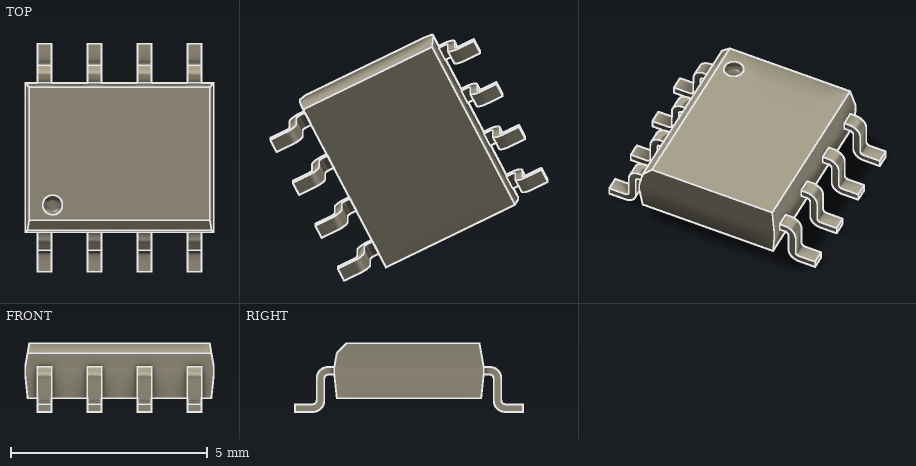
import cadquery as cq
import math

body_length = 4.8
body_width = 3.8
overall_height = 1.75
standoff = 0.35
upper_draft = 10.0
lower_draft = 6.0

bevel_width = 0.2
bevel_drop = 0.25

dimple_x = -1.7
dimple_y = -1.2
dimple_radius = 0.25
dimple_depth = 0.2
dimple_bottom_fillet = 0.15

leads_per_side = 4
lead_pitch = 1.27
lead_width = 0.36
lead_thickness = 0.2
lead_span = 5.8
lead_shoulder_top = 1.15
lead_shank_outer = 2.35
bend_inner_radius = 0.1
lead_embed = 0.5

bend_outer_radius = bend_inner_radius + lead_thickness
band_top = lead_shoulder_top
band_bottom = band_top - lead_thickness


def make_body():
    """Straight parting band with drafted halves above and below it."""
    band = (
        cq.Workplane("XY", origin=(0, 0, band_bottom))
        .rect(body_length, body_width)
        .extrude(band_top - band_bottom)
    )
    upper = (
        cq.Workplane("XY", origin=(0, 0, band_top))
        .rect(body_length, body_width)
        .extrude(overall_height - band_top, taper=upper_draft)
    )
    lower = (
        cq.Workplane("XY", origin=(0, 0, band_bottom))
        .rect(body_length, body_width)
        .extrude(-(band_bottom - standoff), taper=lower_draft)
    )
    return band.union(upper).union(lower)


def make_bevel_cutter():
    """Triangular prism that removes the top edge on the -Y side."""
    draft_slope = math.tan(math.radians(upper_draft))
    top_edge_y = -body_width / 2 + (overall_height - band_top) * draft_slope
    inner_corner = (top_edge_y + bevel_width, overall_height)
    lower_corner = (top_edge_y - bevel_drop * draft_slope, overall_height - bevel_drop)
    outer_corner = (lower_corner[0], overall_height)
    return (
        cq.Workplane("YZ")
        .polyline([inner_corner, lower_corner, outer_corner])
        .close()
        .extrude(body_length / 2, both=True)
    )


def make_dimple_cutter():
    """Round pocket with a filleted floor."""
    return (
        cq.Workplane("XY", origin=(dimple_x, dimple_y, overall_height))
        .circle(dimple_radius)
        .extrude(-dimple_depth)
        .faces("<Z")
        .edges()
        .fillet(dimple_bottom_fillet)
    )


def make_lead():
    """One lead on the +Y side, centred on X = 0, bent down and out to its foot."""
    root_y = body_width / 2 - lead_embed
    tip_y = lead_span / 2
    shank_inner = lead_shank_outer - lead_thickness
    shoulder_bend_y = lead_shank_outer - bend_outer_radius
    shoulder_bend_z = lead_shoulder_top - bend_outer_radius
    foot_bend_y = shank_inner + bend_outer_radius
    foot_bend_z = bend_outer_radius
    diagonal = math.sqrt(0.5)
    inner_mid = bend_inner_radius * diagonal
    outer_mid = bend_outer_radius * diagonal
    return (
        cq.Workplane("YZ")
        .moveTo(root_y, lead_shoulder_top)
        .lineTo(shoulder_bend_y, lead_shoulder_top)
        .threePointArc(
            (shoulder_bend_y + outer_mid, shoulder_bend_z + outer_mid),
            (lead_shank_outer, shoulder_bend_z),
        )
        .lineTo(lead_shank_outer, foot_bend_z)
        .threePointArc(
            (foot_bend_y - inner_mid, foot_bend_z - inner_mid),
            (foot_bend_y, lead_thickness),
        )
        .lineTo(tip_y, lead_thickness)
        .lineTo(tip_y, 0)
        .lineTo(foot_bend_y, 0)
        .threePointArc(
            (foot_bend_y - outer_mid, foot_bend_z - outer_mid),
            (shank_inner, foot_bend_z),
        )
        .lineTo(shank_inner, shoulder_bend_z)
        .threePointArc(
            (shoulder_bend_y + inner_mid, shoulder_bend_z + inner_mid),
            (shoulder_bend_y, band_bottom),
        )
        .lineTo(root_y, band_bottom)
        .close()
        .extrude(lead_width / 2, both=True)
    )


def add_leads(body):
    """Join a row of leads to each long side of the body."""
    back_lead = make_lead()
    front_lead = back_lead.mirror("XZ")
    first_x = -(leads_per_side - 1) * lead_pitch / 2
    for index in range(leads_per_side):
        offset = (first_x + index * lead_pitch, 0, 0)
        body = body.union(back_lead.translate(offset))
        body = body.union(front_lead.translate(offset))
    return body


package = make_body().cut(make_bevel_cutter()).cut(make_dimple_cutter())
result = add_leads(package)